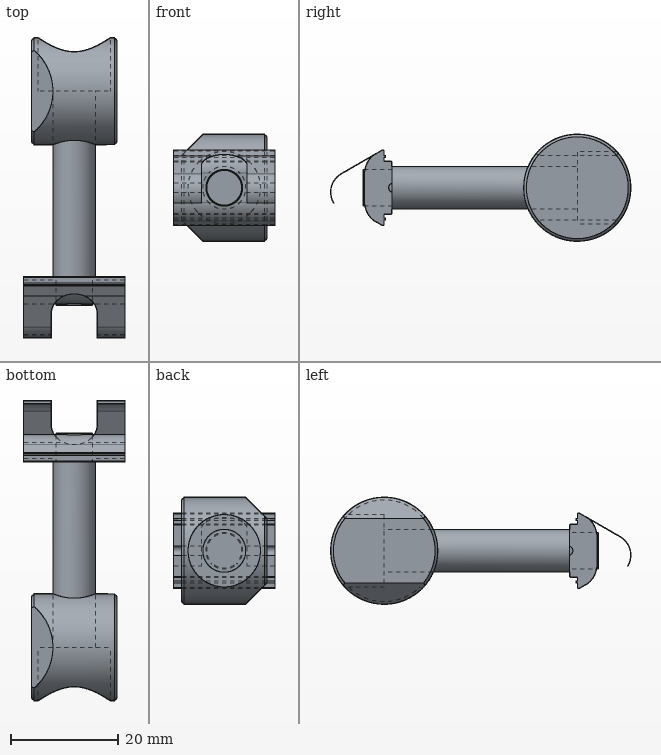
import cadquery as cq
import math

head_diameter = 20.0
head_length = 15.95
head_chamfer = 0.5
head_flat_half_height = 6.0
counterbore_diameter = 13.5
counterbore_floor_y = 0.0

stem_diameter = 8.0
tip_diameter = 6.85
tip_chamfer = 0.15
tip_y = -40.0

nut_width = 19.0
nut_back_y = -34.6
nut_shoulder_y = -36.05
nut_crest_y = -36.35
nut_front_y = -39.7
nut_half_height = 7.05
neck_half_height = 5.0
neck_chamfer = 0.15
crest_bevel = 0.15
slope_end_half_height = 6.2
front_flat_half_height = 2.75
groove_half_width = 0.85
groove_depth = 0.6
rib_half_height = 5.85
rib_size = 0.45
rib_projection = 0.2

slope_angle = math.radians(30)
spring_thickness = 0.05
spring_slot_width = 8.6
overall_length = 56.05
spring_front_y = head_diameter / 2 - overall_length
spring_radius = 4.0
spring_tip_angle = math.radians(31)

slope_end_y = nut_crest_y - (nut_half_height - slope_end_half_height) / math.tan(slope_angle)
cut_margin = 2.8


def make_head():
    head_radius = head_diameter / 2
    body = (
        cq.Workplane("YZ", origin=(-head_length / 2, 0, 0))
        .circle(head_radius)
        .extrude(head_length)
        .edges("%CIRCLE")
        .chamfer(head_chamfer)
    )
    end_x = -head_length / 2
    bevel_leg = head_radius + cut_margin - head_flat_half_height
    for side in (1, -1):
        bevel = (
            cq.Workplane("XZ")
            .moveTo(end_x, side * head_flat_half_height)
            .lineTo(end_x + bevel_leg, side * (head_flat_half_height + bevel_leg))
            .lineTo(end_x, side * (head_flat_half_height + bevel_leg))
            .close()
            .extrude(head_diameter, both=True)
        )
        body = body.cut(bevel)
    counterbore = y_cylinder(counterbore_diameter, counterbore_floor_y, head_diameter)
    bolt_hole = y_cylinder(stem_diameter, -head_diameter, counterbore_floor_y)
    return body.cut(counterbore).cut(bolt_hole)


def y_cylinder(diameter, start_y, end_y):
    """Cylinder about the Y axis, from start_y up to end_y."""
    return (
        cq.Workplane("XZ", origin=(0, end_y, 0))
        .circle(diameter / 2)
        .extrude(end_y - start_y)
    )


def make_bolt():
    stem = y_cylinder(stem_diameter, nut_back_y, counterbore_floor_y)
    tip = y_cylinder(tip_diameter, tip_y, nut_back_y).faces("<Y").chamfer(tip_chamfer)
    return stem.union(tip)


def make_nut_profile():
    arc_depth = slope_end_y - nut_front_y
    arc_height = slope_end_half_height - front_flat_half_height
    arc_radius = (arc_depth**2 + arc_height**2) / (2 * arc_depth)
    half_turn = math.asin(arc_height / arc_radius) / 2
    arc_mid_y = nut_front_y + arc_radius * (1 - math.cos(half_turn))
    arc_mid_z = front_flat_half_height + arc_radius * math.sin(half_turn)
    return (
        cq.Workplane("YZ", origin=(-nut_width / 2, 0, 0))
        .moveTo(nut_back_y, groove_half_width)
        .lineTo(nut_back_y, neck_half_height - neck_chamfer)
        .lineTo(nut_back_y - neck_chamfer, neck_half_height)
        .lineTo(nut_shoulder_y, neck_half_height)
        .lineTo(nut_shoulder_y, nut_half_height - crest_bevel)
        .lineTo(nut_shoulder_y - crest_bevel, nut_half_height)
        .lineTo(nut_crest_y, nut_half_height)
        .lineTo(slope_end_y, slope_end_half_height)
        .threePointArc((arc_mid_y, arc_mid_z), (nut_front_y, front_flat_half_height))
        .lineTo(nut_front_y, -front_flat_half_height)
        .threePointArc((arc_mid_y, -arc_mid_z), (slope_end_y, -slope_end_half_height))
        .lineTo(nut_crest_y, -nut_half_height)
        .lineTo(nut_shoulder_y - crest_bevel, -nut_half_height)
        .lineTo(nut_shoulder_y, -nut_half_height + crest_bevel)
        .lineTo(nut_shoulder_y, -neck_half_height)
        .lineTo(nut_back_y - neck_chamfer, -neck_half_height)
        .lineTo(nut_back_y, -neck_half_height + neck_chamfer)
        .lineTo(nut_back_y, -groove_half_width)
        .threePointArc((nut_back_y - groove_depth, 0), (nut_back_y, groove_half_width))
        .close()
    )


def make_spring():
    center_y = spring_front_y + spring_radius
    curl_start = math.pi / 2 - slope_angle
    curl_end = -spring_tip_angle
    curl_mid = (curl_start + curl_end) / 2
    start_y = center_y - spring_radius * math.cos(curl_start)
    start_z = slope_end_half_height - (slope_end_y - start_y) * math.tan(slope_angle)
    center_z = start_z - spring_radius * math.sin(curl_start)

    def curl_point(radius, angle):
        return (center_y - radius * math.cos(angle), center_z + radius * math.sin(angle))

    inner_radius = spring_radius - spring_thickness
    inner_root_y = slope_end_y + spring_thickness * math.sin(slope_angle)
    inner_root_z = slope_end_half_height - spring_thickness * math.cos(slope_angle)
    leaf = (
        cq.Workplane("YZ", origin=(-nut_width / 2, 0, 0))
        .moveTo(slope_end_y, slope_end_half_height)
        .lineTo(*curl_point(spring_radius, curl_start))
        .threePointArc(curl_point(spring_radius, curl_mid), curl_point(spring_radius, curl_end))
        .lineTo(*curl_point(inner_radius, curl_end))
        .threePointArc(curl_point(inner_radius, curl_mid), curl_point(inner_radius, curl_start))
        .lineTo(inner_root_y, inner_root_z)
        .close()
        .extrude(nut_width)
    )
    return leaf.cut(make_spring_slot())


def make_spring_slot():
    """Round-ended slot square to the leaf, its end touching the root of the leaf."""
    leaf_plane = cq.Plane(
        origin=(0, slope_end_y, slope_end_half_height),
        xDir=(1, 0, 0),
        normal=(0, -math.sin(slope_angle), math.cos(slope_angle)),
    )
    slot_radius = spring_slot_width / 2
    slot_length = overall_length / 2
    return (
        cq.Workplane(leaf_plane)
        .moveTo(-slot_radius, -slot_radius)
        .threePointArc((0, 0), (slot_radius, -slot_radius))
        .lineTo(slot_radius, -slot_length)
        .lineTo(-slot_radius, -slot_length)
        .close()
        .extrude(nut_width, both=True)
    )


def make_nut():
    body = make_nut_profile().extrude(nut_width)
    for side in (1, -1):
        rib = cq.Workplane("XY").box(nut_width, 2 * rib_projection, rib_size)
        body = body.union(rib.translate((0, nut_shoulder_y, side * rib_half_height)))
    body = body.union(make_spring())
    return body.cut(y_cylinder(tip_diameter, tip_y, nut_back_y))


head = make_head()
bolt = make_bolt()
nut = make_nut()

result = cq.Compound.makeCompound([head.solids().val(), bolt.solids().val(), nut.solids().val()])